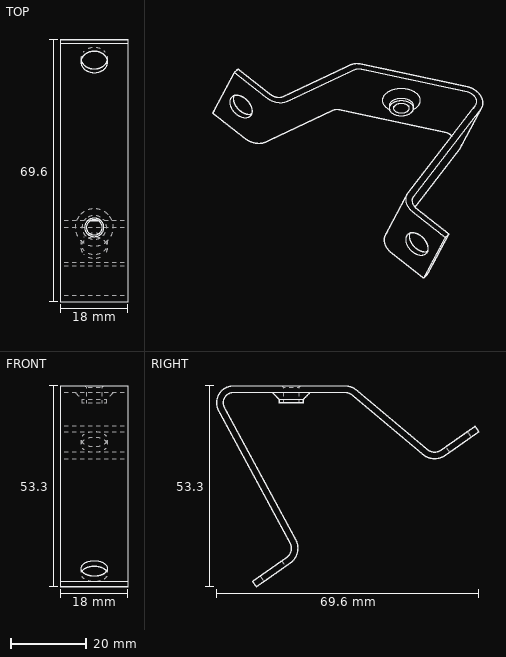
import cadquery as cq
import math

width = 18.0
thickness = 1.8
bend_radius = 3.0
front_bend_radius = 2.7

flange_slope = 35.0
rear_leg_slope = 40.0
front_leg_slope = 61.64

seat_front = 15.3
seat_rear = 14.24
rear_leg_length = 24.5
front_leg_length = 39.8
flange_length = 11.0

flange_hole_diameter = 7.0
flange_hole_from_end = 6.0

boss_diameter = 6.4
boss_flare_diameter = 10.0
boss_flare_height = 1.9
boss_height = 2.7
boss_bottom = -thickness - boss_height
bore_diameter = 4.1
bore_mouth_diameter = 5.0


def move(point, heading, distance):
    """Shift a point in the YZ plane; the heading is in degrees up from +Y."""
    angle = math.radians(heading)
    return point + cq.Vector(0, math.cos(angle), math.sin(angle)) * distance


def straight_edges(start, heading, length):
    """Upper and lower face lines of a straight stretch, and the point where it ends."""
    end = move(start, heading, length)
    upper = cq.Edge.makeLine(start, end)
    lower = cq.Edge.makeLine(
        move(start, heading - 90, thickness),
        move(end, heading - 90, thickness),
    )
    return [upper, lower], end


def bend_edges(start, heading, turn, radius):
    """Upper and lower face arcs of a bend (turn > 0 goes up), and the point where it ends."""
    upper_radius = radius if turn > 0 else -(radius + thickness)
    axis = move(start, heading + 90, upper_radius)

    def arc(face_radius):
        points = [move(axis, heading + part * turn - 90, face_radius) for part in (0, 0.5, 1)]
        return cq.Edge.makeThreePointArc(*points), points[-1]

    upper, end = arc(upper_radius)
    lower, _ = arc(upper_radius + thickness)
    return [upper, lower], end


def flange_hole(flange_end, heading):
    """Cutter square to a flange, set back from its free end."""
    center = move(flange_end, heading, -flange_hole_from_end)
    normal = move(cq.Vector(), heading + 90, 1)
    plane = cq.Plane(origin=center, xDir=(1, 0, 0), normal=normal)
    return cq.Workplane(plane).circle(flange_hole_diameter / 2).extrude(thickness, both=True)


def arm(seat_length, seat_bend_radius, leg_heading, leg_length, flange_heading):
    """Half of the strip, running from the boss axis toward +Y."""
    seat, seat_end = straight_edges(cq.Vector(), 0, seat_length)
    seat_bend, leg_start = bend_edges(seat_end, 0, leg_heading, seat_bend_radius)
    leg, leg_end = straight_edges(leg_start, leg_heading, leg_length)
    turn = flange_heading - leg_heading
    flange_bend, flange_start = bend_edges(leg_end, leg_heading, turn, bend_radius)
    flange, flange_end = straight_edges(flange_start, flange_heading, flange_length)

    root_end = cq.Edge.makeLine(cq.Vector(), move(cq.Vector(), -90, thickness))
    free_end = cq.Edge.makeLine(flange_end, move(flange_end, flange_heading - 90, thickness))
    edges = seat + seat_bend + leg + flange_bend + flange + [root_end, free_end]
    outline = cq.Wire.combine(edges)[0]
    strip = cq.Workplane("YZ").add(outline).toPending().extrude(width / 2, both=True)
    return strip.cut(flange_hole(flange_end, flange_heading))


def boss():
    """Flared boss under the seat, revolved about the Z axis."""
    flare_bottom = -thickness - boss_flare_height
    return (
        cq.Workplane("XZ")
        .moveTo(0, -thickness)
        .lineTo(boss_flare_diameter / 2, -thickness)
        .lineTo(boss_diameter / 2, flare_bottom)
        .lineTo(boss_diameter / 2, boss_bottom)
        .lineTo(0, boss_bottom)
        .close()
        .revolve(360, (0, 0), (0, 1))
    )


def bore():
    """Bore through seat and boss, with a 45 degree chamfer at the upper mouth."""
    bore_radius = bore_diameter / 2
    mouth_radius = bore_mouth_diameter / 2
    return (
        cq.Workplane("XZ")
        .lineTo(mouth_radius, 0)
        .lineTo(bore_radius, bore_radius - mouth_radius)
        .lineTo(bore_radius, boss_bottom)
        .lineTo(0, boss_bottom)
        .close()
        .revolve(360, (0, 0), (0, 1))
    )


rear_arm = arm(seat_rear, bend_radius, -rear_leg_slope, rear_leg_length, flange_slope)
front_arm = arm(
    seat_front, front_bend_radius, front_leg_slope - 180, front_leg_length, -flange_slope
).mirror("XZ")

result = rear_arm.union(front_arm).union(boss()).cut(bore()).clean()